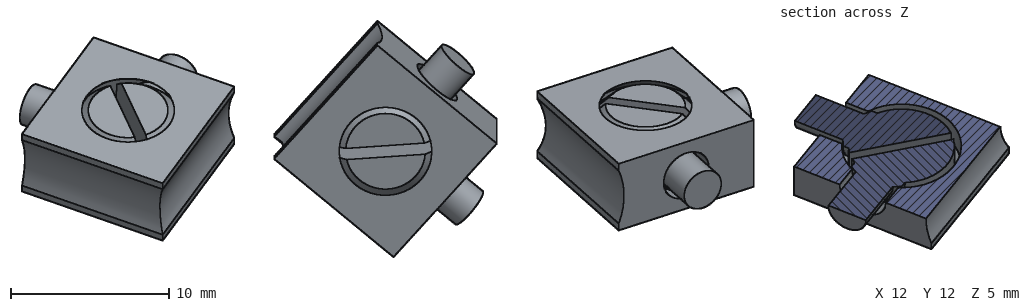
import cadquery as cq

overall = 12.0
pin_length = 2.0
block_side = overall - pin_length
block_height = 5.0
half_side = block_side / 2
half_height = block_height / 2

groove_width = 3.96
groove_depth = 0.4

hub_end_radius = 2.52
hub_flare = 0.84
hub_clearance = 0.41
hub_radius = hub_end_radius + hub_flare
cavity_radius = hub_radius + hub_clearance

gap_width_end = 0.75
gap_width_middle = 0.55

pin_diameter = 2.74
pin_hole_diameter = 3.34
pin_radius = pin_diameter / 2
flare_setback = 0.26
flare_start = cavity_radius - flare_setback
flare_gain = 0.48
flare_length = 0.3
flare_end = flare_start - flare_length
flare_radius = pin_radius + flare_gain


def double_cone(end_radius, middle_radius):
    """Round body on Z: a cylinder with a cone at each end, as high as the block."""
    straight_half = half_height - hub_flare
    return (
        cq.Workplane("XZ")
        .moveTo(0, -half_height)
        .lineTo(end_radius, -half_height)
        .lineTo(middle_radius, -straight_half)
        .lineTo(middle_radius, straight_half)
        .lineTo(end_radius, half_height)
        .lineTo(0, half_height)
        .close()
        .revolve(360, (0, 0), (0, 1))
    )


def make_groove():
    """Cutter for the groove along the -Y side."""
    return (
        cq.Workplane("YZ")
        .moveTo(-half_side, -groove_width / 2)
        .threePointArc((-half_side + groove_depth, 0), (-half_side, groove_width / 2))
        .close()
        .extrude(half_side, both=True)
    )


def make_pin_hole():
    """Cutter from the hub axis out through the -X side."""
    return cq.Workplane("YZ").circle(pin_hole_diameter / 2).extrude(-half_side)


def make_block():
    block = cq.Workplane("XY").box(block_side, block_side, block_height)
    block = block.cut(double_cone(hub_end_radius + hub_clearance, cavity_radius))
    block = block.cut(make_groove())
    block = block.cut(make_groove().rotate((0, 0, 0), (0, 0, 1), 90))
    block = block.cut(make_pin_hole())
    return block.cut(make_pin_hole().rotate((0, 0, 0), (0, 0, 1), -90))


def make_gap_side():
    """Solid on the -X side of the gap, whose face bulges into the gap at mid height."""
    return (
        cq.Workplane("XZ")
        .moveTo(-gap_width_end / 2, -half_height)
        .lineTo(-gap_width_middle / 2, 0)
        .lineTo(-gap_width_end / 2, half_height)
        .lineTo(-overall, half_height)
        .lineTo(-overall, -half_height)
        .close()
        .extrude(overall, both=True)
    )


def make_pin():
    """Pin along -X whose root flares out and ends inside the hub."""
    return (
        cq.Workplane("XY")
        .moveTo(-half_side - pin_length, 0)
        .lineTo(-half_side - pin_length, pin_radius)
        .lineTo(-flare_start, pin_radius)
        .lineTo(-flare_end, flare_radius)
        .lineTo(-hub_end_radius, flare_radius)
        .lineTo(-hub_end_radius, 0)
        .close()
        .revolve(360, (0, 0), (1, 0))
    )


def make_hub_half(turn, pin_turn):
    """One half of the hub with its pin; both angles turn about Z from -X."""
    axis_start, axis_end = (0, 0, 0), (0, 0, 1)
    side = make_gap_side().rotate(axis_start, axis_end, turn)
    pin = make_pin().rotate(axis_start, axis_end, pin_turn)
    return double_cone(hub_end_radius, hub_radius).intersect(side).union(pin)


block = make_block()
hub_halves = [make_hub_half(turn, pin_turn) for turn, pin_turn in [(45, 0), (225, -90)]]

result = cq.Compound.makeCompound([block.val(), *[half.val() for half in hub_halves]])